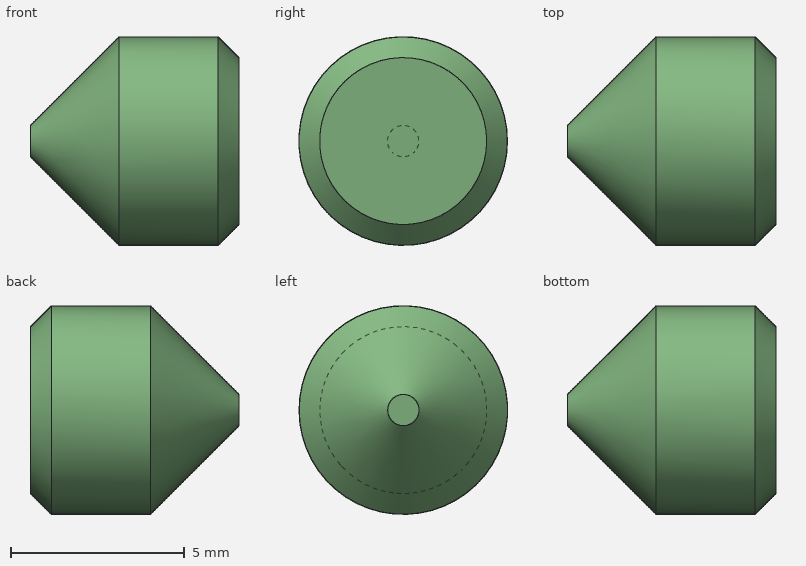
import cadquery as cq

length = 6.0
body_diameter = 6.0
tip_diameter = 0.9
rear_chamfer = 0.6

body_radius = body_diameter / 2
tip_radius = tip_diameter / 2
nose_length = body_radius - tip_radius

half_profile = (
    cq.Workplane("XY")
    .moveTo(0, 0)
    .lineTo(0, tip_radius)
    .lineTo(nose_length, body_radius)
    .lineTo(length - rear_chamfer, body_radius)
    .lineTo(length, body_radius - rear_chamfer)
    .lineTo(length, 0)
    .close()
)

result = half_profile.revolve(360, (0, 0, 0), (1, 0, 0))